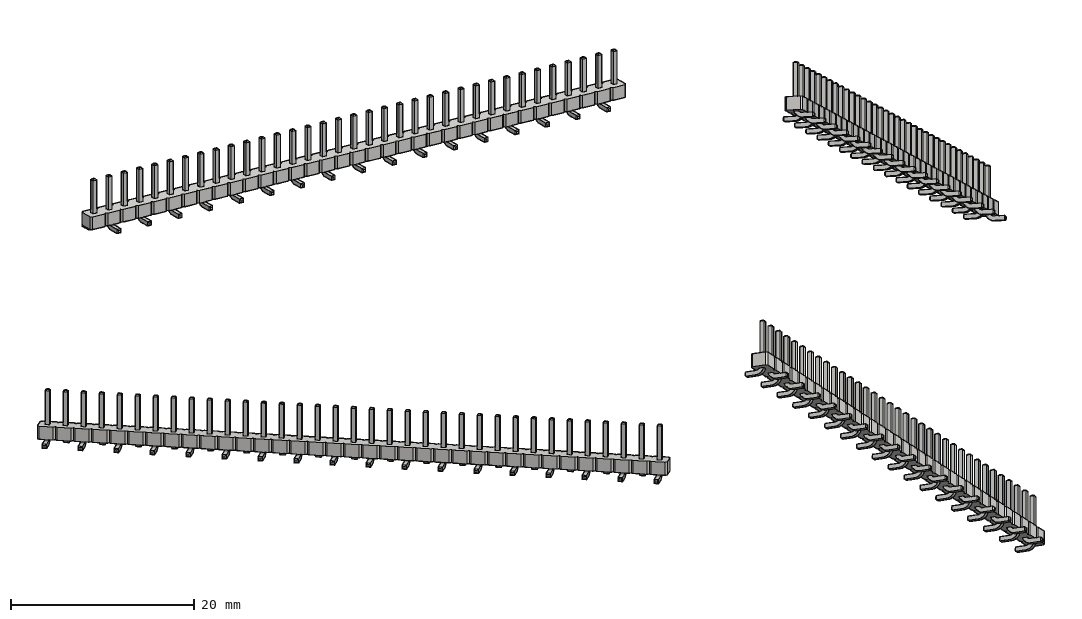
import cadquery as cq
import math

PIN_COUNT = 35
PITCH = 2.0
ROW_LENGTH = PIN_COUNT * PITCH

BODY_WIDTH = 2.0
BODY_BOTTOM = 0.7
BODY_TOP = 2.2
CELL_CHAMFER = 0.2

PIN_SIZE = 0.5
PIN_TOP = 6.2
TIP_CHAMFER = PIN_SIZE / 4
FOOT_REACH = 2.1
INNER_BEND_RADIUS = 0.5
OUTER_BEND_RADIUS = INNER_BEND_RADIUS + PIN_SIZE


def pin_position(index):
    """Y of a pin, counted from the -Y end of the row."""
    return (index + 0.5) * PITCH - ROW_LENGTH / 2


def side_outline(side):
    """Plan points along one flank of the row, from -Y to +Y, on the +X (1) or -X (-1) side."""
    outer = side * BODY_WIDTH / 2
    notch = outer - side * CELL_CHAMFER
    flat_half = PITCH / 2 - CELL_CHAMFER
    points = [(notch, -ROW_LENGTH / 2)]
    for index in range(PIN_COUNT):
        y = pin_position(index)
        points += [(outer, y - flat_half), (outer, y + flat_half), (notch, y + PITCH / 2)]
    return points


def make_body():
    """Insulator bar with a V-notch in both flanks between neighbouring cells."""
    outline = side_outline(1) + side_outline(-1)[::-1]
    height = BODY_TOP - BODY_BOTTOM
    return cq.Workplane("XY").workplane(offset=BODY_BOTTOM).polyline(outline).close().extrude(height)


def make_pin():
    """L-shaped pin on the Z axis with its foot pointing to +X and both ends chamfered."""
    back = -PIN_SIZE / 2
    front = PIN_SIZE / 2
    bend_x = back + OUTER_BEND_RADIUS
    bend_z = OUTER_BEND_RADIUS
    outer_diagonal = OUTER_BEND_RADIUS * math.sqrt(0.5)
    inner_diagonal = INNER_BEND_RADIUS * math.sqrt(0.5)
    pin = (
        cq.Workplane("XZ")
        .moveTo(back, PIN_TOP)
        .lineTo(back, bend_z)
        .threePointArc((bend_x - outer_diagonal, bend_z - outer_diagonal), (bend_x, 0))
        .lineTo(FOOT_REACH, 0)
        .lineTo(FOOT_REACH, PIN_SIZE)
        .lineTo(bend_x, PIN_SIZE)
        .threePointArc((bend_x - inner_diagonal, bend_z - inner_diagonal), (front, bend_z))
        .lineTo(front, PIN_TOP)
        .close()
        .extrude(PIN_SIZE / 2, both=True)
    )
    return pin.faces(">Z or >X").chamfer(TIP_CHAMFER)


def make_pins():
    """All pins of the row; the first and every second one after it have the foot on -X."""
    right_pin = make_pin().val()
    left_pin = right_pin.rotate((0, 0, 0), (0, 0, 1), 180)
    pins = []
    for index in range(PIN_COUNT):
        pin = left_pin if index % 2 == 0 else right_pin
        pins.append(pin.translate(cq.Vector(0, pin_position(index), 0)))
    return pins


result = cq.Workplane(obj=make_body().val().fuse(*make_pins()))